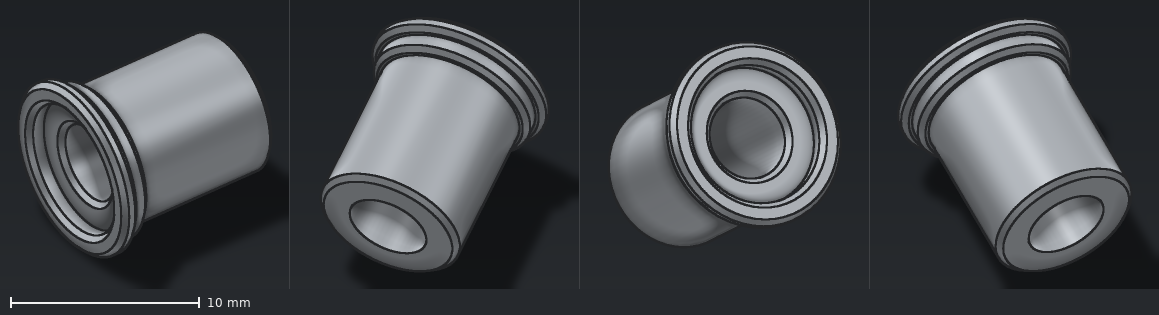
import cadquery as cq

length = 10.5
flange_diameter = 10.0
collar_diameter = 9.0
body_diameter = 8.0
shoulder_width = 1.0
recess_diameter = 7.5
recess_depth = 1.0
bore_diameter = 4.4
edge_chamfer = 0.3


def cylinder(diameter, start, depth):
    """Solid cylinder on the Y axis, running from Y = start towards +Y."""
    return cq.Workplane("XZ", origin=(0, start, 0)).circle(diameter / 2).extrude(-depth)


def countersink(diameter, start):
    """Cone that bevels the mouth of a hole opening towards -Y at Y = start."""
    mouth_radius = diameter / 2 + edge_chamfer
    cone = cq.Solid.makeCone(
        mouth_radius, diameter / 2, edge_chamfer, cq.Vector(0, start, 0), cq.Vector(0, 1, 0)
    )
    return cq.Workplane(cone)


flange = cylinder(flange_diameter, 0, shoulder_width).edges().chamfer(edge_chamfer)
collar = cylinder(collar_diameter, 0, 2 * shoulder_width).faces(">Y").chamfer(edge_chamfer)
body = cylinder(body_diameter, 0, length).faces(">Y").chamfer(edge_chamfer)
result = flange.union(collar).union(body)

result = result.cut(cylinder(recess_diameter, 0, recess_depth))
result = result.cut(countersink(recess_diameter, 0))
result = result.cut(cylinder(bore_diameter, 0, length))
result = result.cut(countersink(bore_diameter, recess_depth))